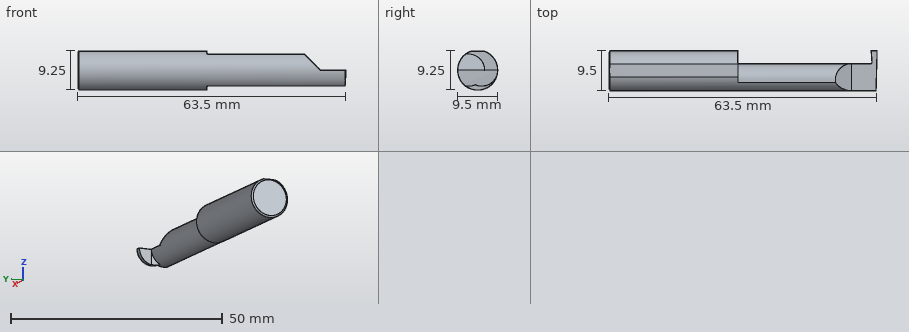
import cadquery as cq

LENGTH = 63.5
SHANK_RADIUS = 4.75
SHANK_LENGTH = 30.5
FLAT_HEIGHT = 4.5
BACK_CHAMFER_LENGTH = 0.25
BACK_CHAMFER_DEPTH = 0.45

NECK_RADIUS = 3.8
NECK_CENTER_Y = -2.15
SHOULDER_FILLET = 0.3

HEAD_START = 57.4
END_RELIEF = 0.25

TOOTH_WIDTH = 1.45
TOOTH_ROOT_WIDTH = 1.3
CORNER_FILLET = 0.25

neck_side_y = NECK_CENTER_Y + NECK_RADIUS
ramp_start = HEAD_START - NECK_RADIUS
margin = SHANK_RADIUS
TOLERANCE = 0.05
cut_width = 4 * SHANK_RADIUS


def yz_plane(x):
    return cq.Workplane("YZ", origin=(x, 0, 0))


def bar_blank():
    """Full-length round bar with the back end chamfered."""
    chamfered_radius = SHANK_RADIUS - BACK_CHAMFER_DEPTH
    return (
        cq.Workplane("XY")
        .lineTo(0, chamfered_radius)
        .lineTo(BACK_CHAMFER_LENGTH, SHANK_RADIUS)
        .lineTo(LENGTH, SHANK_RADIUS)
        .lineTo(LENGTH, 0)
        .close()
        .revolve(360, (0, 0, 0), (1, 0, 0))
    )


def shank_and_neck_envelope():
    """Flatted shank joined to a round-sided neck, filleted at the shoulder."""
    shank = cq.Workplane("XY").box(
        SHANK_LENGTH, cut_width, SHANK_RADIUS + FLAT_HEIGHT, centered=(False, True, False)
    ).translate((0, 0, -SHANK_RADIUS))
    outer_y = -SHANK_RADIUS - margin / 2
    neck = (
        yz_plane(SHANK_LENGTH)
        .moveTo(outer_y, -NECK_RADIUS)
        .lineTo(NECK_CENTER_Y, -NECK_RADIUS)
        .threePointArc((neck_side_y, 0), (NECK_CENTER_Y, NECK_RADIUS))
        .lineTo(outer_y, NECK_RADIUS)
        .close()
        .extrude(LENGTH - SHANK_LENGTH)
    )
    shoulder = cq.selectors.BoxSelector(
        (SHANK_LENGTH - TOLERANCE, outer_y - TOLERANCE, -NECK_RADIUS - TOLERANCE),
        (SHANK_LENGTH + TOLERANCE, neck_side_y + TOLERANCE, NECK_RADIUS + TOLERANCE),
    )
    return shank.union(neck).edges(shoulder).fillet(SHOULDER_FILLET)


def tooth():
    """Side tooth at the front end, with a rounded relief below its cutting edge."""
    tooth_back = LENGTH - TOOTH_WIDTH
    root_back = LENGTH - TOOTH_ROOT_WIDTH
    outline = (
        cq.Workplane("XY", origin=(0, 0, -NECK_RADIUS))
        .moveTo(LENGTH, NECK_CENTER_Y)
        .lineTo(LENGTH, SHANK_RADIUS)
        .lineTo(tooth_back, SHANK_RADIUS)
        .lineTo(root_back, neck_side_y + CORNER_FILLET)
        .radiusArc((root_back - CORNER_FILLET, neck_side_y), CORNER_FILLET)
        .lineTo(root_back - CORNER_FILLET, NECK_CENTER_Y)
        .close()
        .extrude(NECK_RADIUS)
    )
    relief = (
        yz_plane(HEAD_START)
        .center(SHANK_RADIUS - NECK_RADIUS, 0)
        .circle(NECK_RADIUS)
        .extrude(LENGTH - HEAD_START)
    )
    return outline.intersect(relief)


def head_clearance():
    """Material above the ramp and the cutting face."""
    return (
        cq.Workplane("XZ", origin=(0, cut_width / 2, 0))
        .moveTo(HEAD_START, 0)
        .lineTo(ramp_start, NECK_RADIUS)
        .lineTo(ramp_start - margin, NECK_RADIUS + margin)
        .lineTo(LENGTH + margin, NECK_RADIUS + margin)
        .lineTo(LENGTH + margin, 0)
        .close()
        .extrude(cut_width)
    )


def end_relief(plane, high, low, offset):
    """Wedge removed from the front end, growing from the high to the low edge."""
    return (
        cq.Workplane(plane, origin=offset)
        .moveTo(LENGTH, high)
        .lineTo(LENGTH - END_RELIEF, low)
        .lineTo(LENGTH + margin, low)
        .lineTo(LENGTH + margin, high)
        .close()
        .extrude(cut_width)
    )


result = bar_blank().intersect(shank_and_neck_envelope()).union(tooth())
result = result.cut(head_clearance())
result = result.cut(end_relief("XY", SHANK_RADIUS, -SHANK_RADIUS, (0, 0, -cut_width / 2)))
result = result.cut(end_relief("XZ", 0, -NECK_RADIUS, (0, cut_width / 2, 0)))